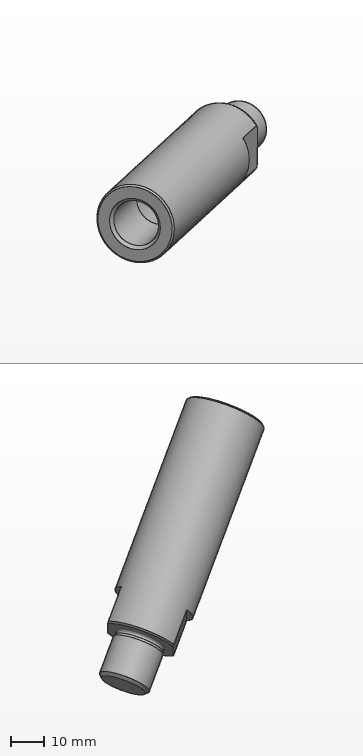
import cadquery as cq
import math

total_length = 90.0
body_diameter = 25.0
body_chamfer = 0.5

stud_diameter = 16.0
stud_length = 15.0
stud_chamfer = 1.0

neck_diameter = 15.2
neck_length = 2.0
neck_taper_length = 0.8
neck_fillet = 0.4

across_flats = 21.0
flat_length = 12.0

bore_diameter = 14.4
bore_depth = 20.0
bore_mouth_diameter = 16.4
drill_point_angle = 118.0

front_y = -total_length / 2
back_y = total_length / 2
shoulder_y = back_y - stud_length


def make_rod():
    """Turned outside: chamfered body, undercut neck and chamfered stud."""
    body_radius = body_diameter / 2
    stud_radius = stud_diameter / 2
    neck_radius = neck_diameter / 2
    neck_end_y = shoulder_y + neck_length
    arc_inset = neck_fillet * (1 - math.sqrt(0.5))
    arc_middle = (neck_radius + arc_inset, shoulder_y + arc_inset)

    profile = (
        cq.Workplane("XY")
        .moveTo(0, front_y)
        .lineTo(body_radius - body_chamfer, front_y)
        .lineTo(body_radius, front_y + body_chamfer)
        .lineTo(body_radius, shoulder_y - body_chamfer)
        .lineTo(body_radius - body_chamfer, shoulder_y)
        .lineTo(neck_radius + neck_fillet, shoulder_y)
        .threePointArc(arc_middle, (neck_radius, shoulder_y + neck_fillet))
        .lineTo(neck_radius, neck_end_y - neck_taper_length)
        .lineTo(stud_radius, neck_end_y)
        .lineTo(stud_radius, back_y - stud_chamfer)
        .lineTo(stud_radius - stud_chamfer, back_y)
        .lineTo(0, back_y)
        .close()
    )
    return profile.revolve(360, (0, 0), (0, 1))


def make_bore():
    """Countersunk blind hole with a conical bottom, opening at the -Y end."""
    bore_radius = bore_diameter / 2
    mouth_radius = bore_mouth_diameter / 2
    mouth_depth = mouth_radius - bore_radius
    point_depth = bore_radius / math.tan(math.radians(drill_point_angle / 2))
    outline = [
        (0, front_y),
        (mouth_radius, front_y),
        (bore_radius, front_y + mouth_depth),
        (bore_radius, front_y + bore_depth),
        (0, front_y + bore_depth + point_depth),
    ]
    return cq.Workplane("XY").polyline(outline).close().revolve(360, (0, 0), (0, 1))


def make_flat_cutter(side):
    """Block that mills one flat; side is +1 for +X and -1 for -X."""
    cutter_width = body_diameter
    center_x = side * (across_flats + cutter_width) / 2
    center_y = shoulder_y - flat_length / 2
    return (
        cq.Workplane("XY")
        .box(cutter_width, flat_length, body_diameter)
        .translate((center_x, center_y, 0))
    )


result = make_rod().cut(make_bore())
for side in (-1, 1):
    result = result.cut(make_flat_cutter(side))